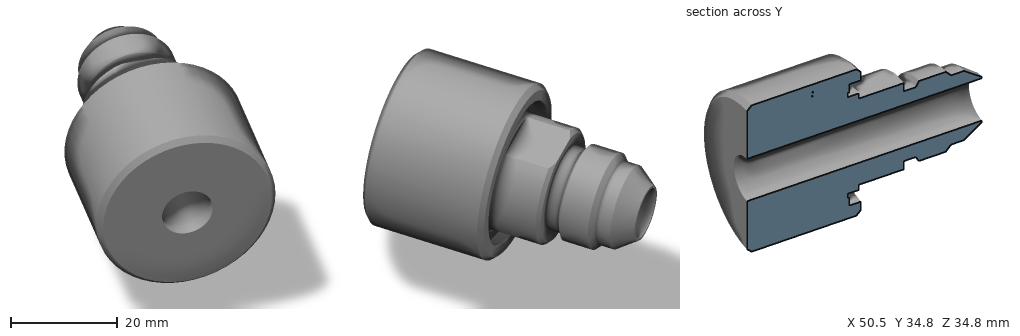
import cadquery as cq
import math

total_length = 50.55
cone_end = 3.85
nose_end = 6.6
thread_start = 7.8
thread_end = 13.55
neck_start = 14.25
hub_start = 16.8
sleeve_start = 26.0

bore_diameter = 9.9
tip_diameter = 10.8
nose_diameter = 16.55
thread_diameter = 19.05
neck_diameter = 16.7
hub_diameter = 23.0
clearance_diameter = 24.8
recess_diameter = 28.6
sleeve_diameter = 34.8

hub_chamfer = 0.75
sleeve_chamfer = 1.0
flat_spacing = 20.5
flat_end = 26.4
recess_depth = 2.55
clearance_depth = 0.25


def revolve_about_x(stations):
    """Revolve a stepped profile of (x, diameter) stations about the X axis."""
    outline = [(x, diameter / 2) for x, diameter in stations]
    first_x = outline[0][0]
    last_x = outline[-1][0]
    profile = cq.Workplane("XY").polyline([(first_x, 0), *outline, (last_x, 0)]).close()
    return profile.revolve(360, (0, 0, 0), (1, 0, 0))


def make_body():
    """Nozzle, hub and sleeve, with a stepped annular recess around the hub."""
    recess_floor = sleeve_start + recess_depth
    clearance_floor = recess_floor + clearance_depth
    return revolve_about_x([
        (0, tip_diameter),
        (cone_end, nose_diameter),
        (nose_end, nose_diameter),
        (thread_start, thread_diameter),
        (thread_end, thread_diameter),
        (neck_start, neck_diameter),
        (hub_start, neck_diameter),
        (hub_start, hub_diameter - 2 * hub_chamfer),
        (hub_start + hub_chamfer, hub_diameter),
        (clearance_floor, hub_diameter),
        (clearance_floor, clearance_diameter),
        (recess_floor, clearance_diameter),
        (recess_floor, recess_diameter),
        (sleeve_start, recess_diameter),
        (sleeve_start, sleeve_diameter - 2 * sleeve_chamfer),
        (sleeve_start + sleeve_chamfer, sleeve_diameter),
        (total_length - sleeve_chamfer, sleeve_diameter),
        (total_length, sleeve_diameter - 2 * sleeve_chamfer),
    ])


def make_flat_cutter(side):
    """Block that trims a wrench flat on the top (side = 1) or bottom (side = -1) of the hub."""
    length = flat_end - hub_start
    width = 2 * math.sqrt((hub_diameter / 2) ** 2 - (flat_spacing / 2) ** 2)
    height = (hub_diameter - flat_spacing) / 2
    center = (hub_start + length / 2, 0, side * (flat_spacing + height) / 2)
    return cq.Workplane("XY").box(length, width, height).translate(center)


def make_bore():
    """Straight hole through the whole part."""
    return cq.Workplane("YZ").circle(bore_diameter / 2).extrude(total_length)


result = make_body().cut(make_bore())
for side in (1, -1):
    result = result.cut(make_flat_cutter(side))